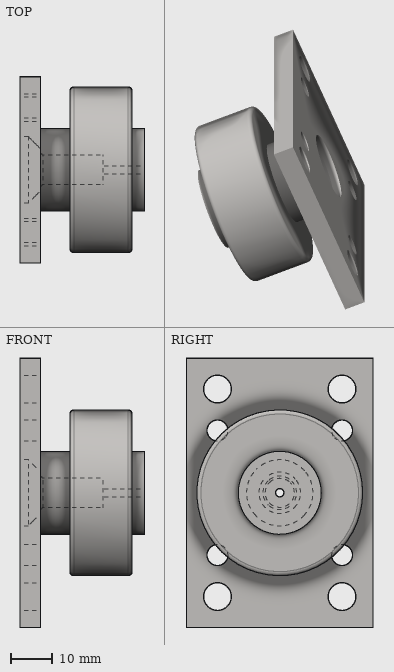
import cadquery as cq

plate_height = 65.0
plate_width = 45.0
plate_thickness = 5.0

overall_length = 30.0
shaft_diameter = 20.0
roller_diameter = 40.0
roller_start = 12.0
roller_width = 15.0
roller_edge_radius = 1.0

hole_offset_y = 15.0
large_hole_diameter = 6.6
large_hole_offset_z = 25.0
small_hole_diameter = 5.0
small_hole_offset_z = hole_offset_y

recess_radius = 8.0
recess_straight_depth = 2.0
seat_radius = 5.0
seat_depth = recess_straight_depth + recess_radius - seat_radius
bore_radius = 3.5
bore_chamfer = 0.5
bore_depth = 20.0
vent_radius = 1.0


def x_cylinder(diameter, start, length):
    """Solid cylinder along +X, centred on the X axis."""
    return cq.Workplane("YZ", origin=(start, 0, 0)).circle(diameter / 2).extrude(length)


def plate_holes(diameter, offset_z):
    """Four cutting cylinders at the corners of a rectangle on the plate."""
    return (
        cq.Workplane("YZ")
        .rect(2 * hole_offset_y, 2 * offset_z, forConstruction=True)
        .vertices()
        .circle(diameter / 2)
        .extrude(plate_thickness)
    )


def centre_recess():
    """Cutting body for the recess, cone, chamfered bore and through vent."""
    profile = [
        (0, 0),
        (0, recess_radius),
        (recess_straight_depth, recess_radius),
        (seat_depth, seat_radius),
        (seat_depth, bore_radius + bore_chamfer),
        (seat_depth + bore_chamfer, bore_radius),
        (bore_depth, bore_radius),
        (bore_depth, vent_radius),
        (overall_length, vent_radius),
        (overall_length, 0),
    ]
    return cq.Workplane("XY").polyline(profile).close().revolve(360, (0, 0, 0), (1, 0, 0))


plate = cq.Workplane("XY").box(
    plate_thickness, plate_width, plate_height, centered=(False, True, True)
)
shaft = x_cylinder(shaft_diameter, 0, overall_length)
roller = x_cylinder(roller_diameter, roller_start, roller_width).edges().fillet(roller_edge_radius)

result = (
    plate.union(shaft)
    .union(roller)
    .cut(plate_holes(large_hole_diameter, large_hole_offset_z))
    .cut(plate_holes(small_hole_diameter, small_hole_offset_z))
    .cut(centre_recess())
)